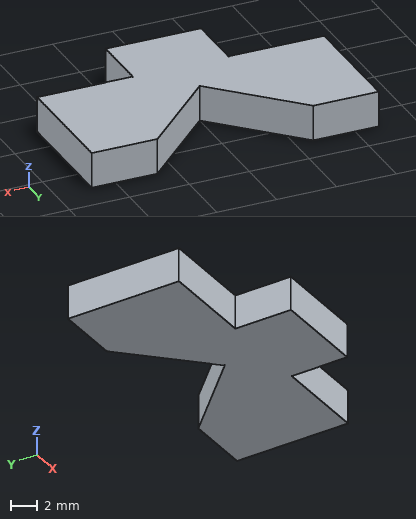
import cadquery as cq

body_width = 24.0
total_depth = 15.0
thickness = 3.0
tab_width = body_width / 3
tab_length = total_depth / 3
notch_depth = 6.5

half_body = body_width / 2
half_tab = tab_width / 2
notch_half_width = notch_depth
back = total_depth / 2
front = -back
shoulder = front + tab_length

right_half = [
    (0, front),
    (half_tab, front),
    (half_tab, shoulder),
    (half_body, shoulder),
    (half_body, back),
    (notch_half_width, back),
    (0, back - notch_depth),
]

result = (
    cq.Workplane("XY")
    .polyline(right_half)
    .mirrorY()
    .extrude(thickness)
)